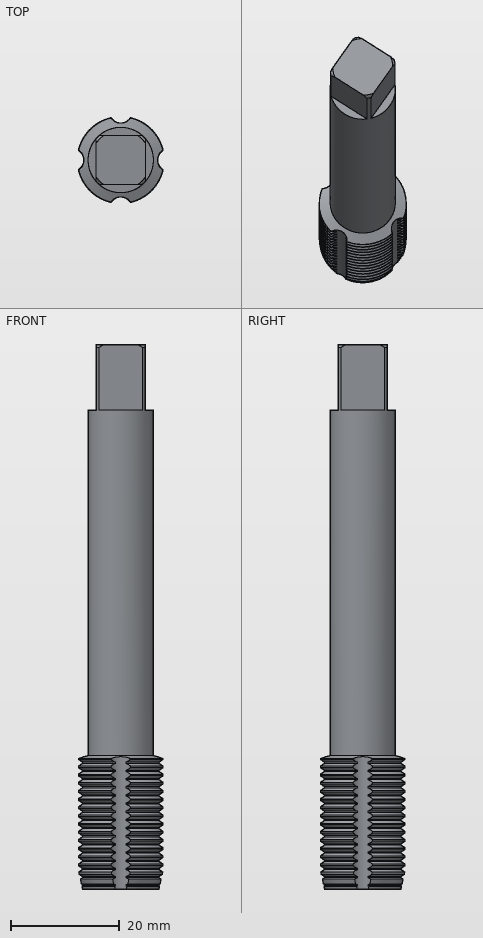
import cadquery as cq
import math

total_length = 100.0
shank_diameter = 12.0
square_width = 9.0
square_length = 12.0
square_chamfer = 0.5

thread_diameter = 16.0
thread_pitch = 1.5
thread_depth = 0.9
thread_length = 24.6
crest_flat = 0.25
root_flat = 0.2
groove_count = 16

lead_length = 3.5
lead_diameter = 14.2
top_cone_height = 0.6

flute_count = 4
flute_radius = 2.1
flute_floor = 6.8

shank_radius = shank_diameter / 2
thread_radius = thread_diameter / 2
root_radius = thread_radius - thread_depth
first_groove_height = thread_pitch / 2
shank_length = total_length - thread_length


def build_shank():
    """Round shank standing on the threaded body, with a driving square at its top."""
    bar = (
        cq.Workplane("XY", origin=(0, 0, thread_length))
        .circle(shank_radius)
        .extrude(shank_length)
        .faces(">Z")
        .edges()
        .chamfer(square_chamfer)
    )
    square_envelope = (
        cq.Workplane("XY", origin=(0, 0, total_length - square_length))
        .rect(square_width, square_width)
        .extrude(square_length)
    )
    round_envelope = (
        cq.Workplane("XY", origin=(0, 0, thread_length))
        .circle(shank_diameter)
        .extrude(shank_length - square_length)
    )
    return bar.intersect(round_envelope.union(square_envelope))


def thread_blank():
    """Turned blank with a tapered lead below and a shallow cone on top."""
    return (
        cq.Workplane("XZ")
        .moveTo(0, 0)
        .lineTo(lead_diameter / 2, 0)
        .lineTo(thread_radius, lead_length)
        .lineTo(thread_radius, thread_length - top_cone_height)
        .lineTo(shank_radius, thread_length)
        .lineTo(0, thread_length)
        .close()
        .revolve(360, (0, 0, 0), (0, 1, 0))
    )


def thread_groove(height):
    """One V-shaped ring groove with a flat root, centred at the given height."""
    half_root = root_flat / 2
    half_mouth = (thread_pitch - crest_flat) / 2
    return (
        cq.Workplane("XZ")
        .moveTo(root_radius, height - half_root)
        .lineTo(thread_radius, height - half_mouth)
        .lineTo(thread_radius, height + half_mouth)
        .lineTo(root_radius, height + half_root)
        .close()
        .revolve(360, (0, 0, 0), (0, 1, 0))
    )


def flute(index):
    """One round-bottomed flute running the full length of the threaded body."""
    angle = math.radians(index * 360 / flute_count)
    distance = flute_floor + flute_radius
    return (
        cq.Workplane("XY")
        .center(distance * math.cos(angle), distance * math.sin(angle))
        .circle(flute_radius)
        .extrude(thread_length)
    )


def build_threaded_body():
    """Fluted cutting body with ring-shaped thread grooves."""
    body = thread_blank()
    for index in range(groove_count):
        body = body.cut(thread_groove(first_groove_height + index * thread_pitch))
    for index in range(flute_count):
        body = body.cut(flute(index))
    return body


shank = build_shank()
threaded_body = build_threaded_body()

result = cq.Compound.makeCompound([shank.val(), threaded_body.val()])